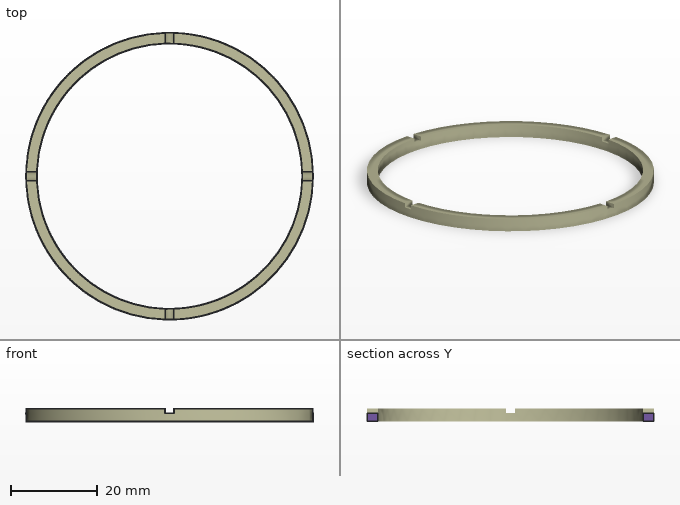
import cadquery as cq

outer_diameter = 66.0
inner_diameter = 61.0
height = 3.0

slot_width = 2.0
slot_depth = 1.0


def make_ring():
    """Plain flat ring standing on the XY plane."""
    return (
        cq.Workplane("XY")
        .circle(outer_diameter / 2)
        .circle(inner_diameter / 2)
        .extrude(height)
    )


def make_slot_bar(angle):
    """Bar through the ring axis that cuts two opposite slots."""
    return (
        cq.Workplane("XY", origin=(0, 0, height - slot_depth))
        .rect(outer_diameter, slot_width)
        .extrude(slot_depth)
        .rotate((0, 0, 0), (0, 0, 1), angle)
    )


result = make_ring()
for bar_angle in (0, 90):
    result = result.cut(make_slot_bar(bar_angle))